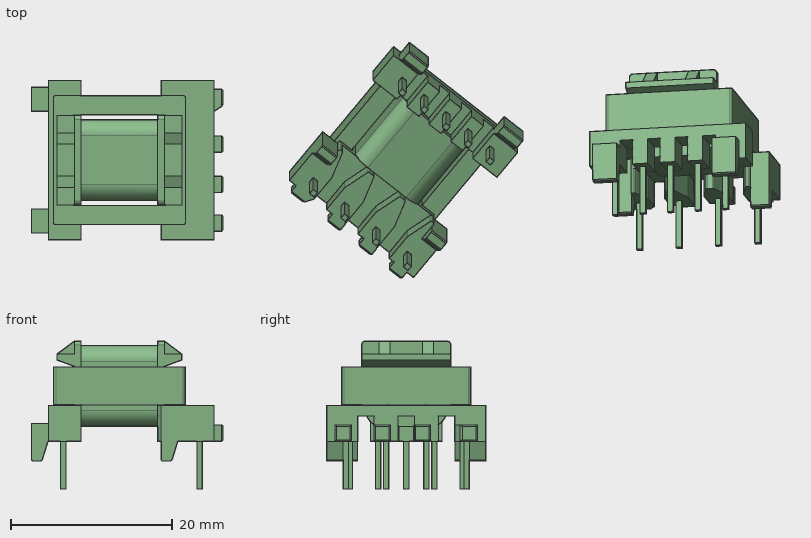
import cadquery as cq


core_length = 16.4
core_width = 16.05
core_height = 4.74
core_corner_radius = 0.3
window_length = 11.45
window_width = 11.25
leg_width = core_height

winding_length = 9.47
winding_size = 10.05
winding_corner_radius = 1.98
flange_thickness = 0.85
flange_width = 11.1
flange_top = 5.57
flange_corner_radius = 0.48
flange_inner_x = winding_length / 2
flange_outer_x = flange_inner_x + flange_thickness

ledge_tip_x = 7.75
ledge_top = 3.95
ledge_tip_bottom = 3.21
core_clearance = 0.05
ledge_root_bottom = core_height / 2 + core_clearance
gusset_offset = 2.7
gusset_width = 1.38

rail_width = 19.8
rail_top = -core_height / 2 - core_clearance
rail_bottom = -6.88
left_rail_x = -8.83
right_rail_x = 11.75
slot_ceiling = -3.75
slot_height = slot_ceiling - rail_bottom

pin_size = 0.7
pin_bottom = -12.83
left_pin_x = -6.97
left_pin_pitch = 3.5
left_pin_count = 5
right_pin_x = 9.97
right_pin_pitch = 5.0
right_pin_count = 4

left_slot_width = 1.6

right_slot_mouth = 4.1
right_slot_throat = 2.05
right_slot_throat_x = 8.19
right_corner_radius = 0.2

foot_bottom = -9.35
foot_root_length = 2.07
foot_tip_length = 1.3
foot_edge_chamfer = 0.17
left_foot_x = -10.92
left_foot_top = -4.65
outer_left_slot_y = (left_pin_count - 2) / 2 * left_pin_pitch
left_foot_inner_y = outer_left_slot_y + left_slot_width / 2
left_foot_outer_y = 9.07
right_foot_x = 5.2
right_foot_inner_y = 7.57

lug_end_x = 12.88
lug_top = -4.83
lug_width = 2.05
lug_centers = [7.8, 2.0, -3.0, -7.8]
lug_end_chamfer = 0.2
flare_width = 0.74


def box(x_min, x_max, y_min, y_max, z_min, z_max):
    """A block given by its limits along each axis."""
    size = (x_max - x_min, y_max - y_min, z_max - z_min)
    return cq.Workplane("XY").box(*size, centered=False).translate((x_min, y_min, z_min))


def prism_along_y(points, y_min, y_max):
    """An XZ outline extruded between two Y positions."""
    return cq.Workplane("XZ", origin=(0, y_max, 0)).polyline(points).close().extrude(y_max - y_min)


def row(count, pitch):
    """Evenly spaced positions centred on zero."""
    return [(i - (count - 1) / 2) * pitch for i in range(count)]


def make_core():
    """Closed frame with a square centre leg along X between two windows."""
    frame = cq.Workplane("XY").box(core_length, core_width, core_height)
    frame = frame.edges("|Z").fillet(core_corner_radius)
    window = cq.Workplane("XY").box(window_length, window_width, core_height)
    centre_leg = cq.Workplane("XY").box(window_length, leg_width, core_height)
    return frame.cut(window.cut(centre_leg))


def make_winding():
    """Rounded square coil between the flanges."""
    coil = cq.Workplane("XY").box(winding_length, winding_size, winding_size)
    return coil.edges("|X").fillet(winding_corner_radius)


def make_flange(bottom):
    """+X end plate, reaching down to the given height, with its snap ledge and two gussets."""
    half_width = flange_width / 2
    plate = box(flange_inner_x, flange_outer_x, -half_width, half_width, bottom, flange_top)
    plate = plate.edges("|X and >Z").fillet(flange_corner_radius)
    ledge_outline = [
        (flange_inner_x, ledge_top),
        (ledge_tip_x, ledge_top),
        (ledge_tip_x, ledge_tip_bottom),
        (flange_outer_x, ledge_root_bottom),
        (flange_inner_x, ledge_root_bottom),
    ]
    flange = plate.union(prism_along_y(ledge_outline, -half_width, half_width))
    gusset_outline = [
        (flange_outer_x, flange_top),
        (ledge_tip_x, ledge_top),
        (flange_outer_x, ledge_top),
    ]
    for y in (-gusset_offset, gusset_offset):
        flange = flange.union(prism_along_y(gusset_outline, y - gusset_width / 2, y + gusset_width / 2))
    return flange


def make_foot(start_x, top, y_min, y_max):
    """Standoff foot with an upright -X face and a sloping +X face below the rail."""
    outline = [
        (start_x, top),
        (start_x + foot_root_length, top),
        (start_x + foot_root_length, rail_bottom),
        (start_x + foot_tip_length, foot_bottom),
        (start_x, foot_bottom),
    ]
    return prism_along_y(outline, y_min, y_max).edges("|Y and <Z").chamfer(foot_edge_chamfer)


def make_left_slots():
    """Straight wire slots through the left rail and flange."""
    slots = cq.Workplane("XY")
    for y in row(left_pin_count - 1, left_pin_pitch):
        y_min = y - left_slot_width / 2
        y_max = y + left_slot_width / 2
        slots = slots.add(box(left_rail_x, -flange_inner_x, y_min, y_max, rail_bottom, slot_ceiling))
    return slots.combine()


def make_left_rail():
    """-X rail with its two feet, before the wire slots are cut."""
    half_width = rail_width / 2
    rail = box(left_rail_x, -flange_inner_x, -half_width, half_width, rail_bottom, rail_top)
    bridge_x = left_foot_x + foot_root_length
    for y_min in (-left_foot_outer_y, left_foot_inner_y):
        y_max = y_min + left_foot_outer_y - left_foot_inner_y
        rail = rail.union(make_foot(left_foot_x, left_foot_top, y_min, y_max))
        rail = rail.union(box(bridge_x, left_rail_x, y_min, y_max, rail_bottom, left_foot_top))
    return rail


def make_right_slots():
    """Wire slots that narrow from the mouth at the winding to a throat at the outer face."""
    mouth = right_slot_mouth / 2
    throat = right_slot_throat / 2
    outline = [
        (flange_inner_x, -mouth),
        (right_slot_throat_x, -throat),
        (right_rail_x, -throat),
        (right_rail_x, throat),
        (right_slot_throat_x, throat),
        (flange_inner_x, mouth),
    ]
    slot = cq.Workplane("XY").polyline(outline).close().extrude(slot_height)
    slots = cq.Workplane("XY")
    for y in row(right_pin_count - 1, right_pin_pitch):
        slots = slots.add(slot.translate((0, y, rail_bottom)))
    return slots.combine()


def make_right_rail():
    """+X rail: a roof plate over ribs parted by the wire slots, with a foot at each end."""
    half_width = rail_width / 2
    step_y = right_foot_inner_y
    roof = box(flange_inner_x, right_rail_x, -step_y, step_y, slot_ceiling, rail_top)
    roof = roof.edges("|Z and <X").fillet(right_corner_radius)
    ribs = box(flange_inner_x, right_rail_x, -step_y, step_y, rail_bottom, slot_ceiling)
    ribs = ribs.cut(make_right_slots())
    ribs = ribs.faces("<X").edges("|Z").fillet(right_corner_radius)
    rail = roof.union(ribs)
    for y_min in (-half_width, step_y):
        y_max = y_min + half_width - step_y
        rail = rail.union(box(right_foot_x, right_rail_x, y_min, y_max, rail_bottom, rail_top))
        rail = rail.union(make_foot(right_foot_x, rail_top, y_min, y_max))
    return rail


def make_lugs():
    """Chamfered lugs on the right rail; the +Y one widens on its inner flank towards the root."""
    lugs = cq.Workplane("XY")
    for y in lug_centers:
        flare = flare_width if y == max(lug_centers) else 0
        y_min = y - lug_width / 2
        y_max = y + lug_width / 2
        outline = [
            (right_rail_x, y_min - flare),
            (lug_end_x, y_min),
            (lug_end_x, y_max),
            (right_rail_x, y_max),
        ]
        lug = cq.Workplane("XY", origin=(0, 0, rail_bottom)).polyline(outline).close()
        lug = lug.extrude(lug_top - rail_bottom).faces(">X").chamfer(lug_end_chamfer)
        lugs = lugs.add(lug)
    return lugs.combine()


def make_pins():
    """Square terminal pins below both rails."""
    places = [(left_pin_x, y) for y in row(left_pin_count, left_pin_pitch)]
    places += [(right_pin_x, y) for y in row(right_pin_count, right_pin_pitch)]
    return (
        cq.Workplane("XY", origin=(0, 0, pin_bottom))
        .pushPoints(places)
        .rect(pin_size, pin_size)
        .extrude(rail_bottom - pin_bottom)
    )


def make_bobbin():
    """Winding, flanges, rails, lugs and pins as one solid around the centre leg."""
    left_side = make_flange(rail_bottom).mirror("YZ").union(make_left_rail()).cut(make_left_slots())
    right_side = make_flange(slot_ceiling).union(make_right_rail()).union(make_lugs())
    bore = cq.Workplane("XY").box(2 * flange_outer_x, leg_width, core_height)
    return make_winding().union(left_side).union(right_side).cut(bore).union(make_pins())


core = make_core()
bobbin = make_bobbin()
result = cq.Compound.makeCompound([core.solids().val(), bobbin.solids().val()])